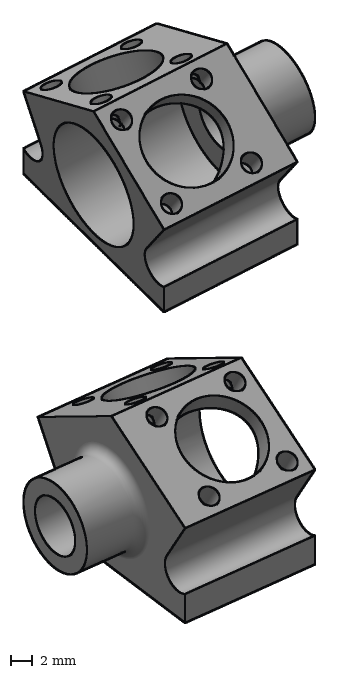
import cadquery as cq
import math

body_width = 22.0
body_length = 15.0
body_height = 17.0
roof_angle = 30.0

groove_radius = 2.0
groove_x = 9.99
groove_z = 5.0

axis_z = 7.5
stub_diameter = 9.5
stub_length = 6.5
stub_fillet = 1.0
chamber_diameter = 12.5
chamber_depth = 14.0
through_diameter = 6.0

window_diameter = 9.0
window_y = 6.5
window_depth = 7.5
screw_diameter = 2.0
screw_spacing = 9.0
screw_depth = 3.0

half_width = body_width / 2
slope = math.radians(roof_angle)
eave_z = body_height - half_width * math.tan(slope)


def make_body():
    outline = [
        (-half_width, 0),
        (half_width, 0),
        (half_width, groove_z),
        (groove_x, groove_z),
        (groove_x - groove_radius * math.cos(slope), groove_z + groove_radius * math.sin(slope)),
        (half_width, eave_z),
        (0, body_height),
    ]
    mirrored = [(-x, z) for x, z in reversed(outline[2:-1])]
    body = cq.Workplane("XZ").polyline(outline + mirrored).close().extrude(-body_length)
    grooves = (
        cq.Workplane("XZ")
        .pushPoints([(-groove_x, groove_z), (groove_x, groove_z)])
        .circle(groove_radius)
        .extrude(-body_length)
    )
    return body.cut(grooves)


def make_stub():
    radius = stub_diameter / 2
    fillet_reach = stub_fillet * (1 - math.sqrt(0.5))
    return (
        cq.Workplane("XY")
        .moveTo(0, body_length)
        .lineTo(radius + stub_fillet, body_length)
        .threePointArc(
            (radius + fillet_reach, body_length + fillet_reach),
            (radius, body_length + stub_fillet),
        )
        .lineTo(radius, body_length + stub_length)
        .lineTo(0, body_length + stub_length)
        .close()
        .revolve(360, (0, 0, 0), (0, 1, 0))
        .translate((0, 0, axis_z))
    )


def axial_bore(diameter, depth):
    return cq.Workplane("XZ").center(0, axis_z).circle(diameter / 2).extrude(-depth)


def roof_holes(side):
    face = cq.Plane(
        origin=(side * half_width / 2, window_y, (body_height + eave_z) / 2),
        xDir=(0, 1, 0),
        normal=(side * math.sin(slope), 0, math.cos(slope)),
    )
    window = cq.Workplane(face).circle(window_diameter / 2).extrude(-window_depth)
    screws = (
        cq.Workplane(face)
        .rect(screw_spacing, screw_spacing, forConstruction=True)
        .vertices()
        .circle(screw_diameter / 2)
        .extrude(-screw_depth)
    )
    return window.union(screws)


result = make_body().union(make_stub())
result = result.cut(axial_bore(chamber_diameter, chamber_depth))
result = result.cut(axial_bore(through_diameter, body_length + stub_length))
for side in (-1, 1):
    result = result.cut(roof_holes(side))